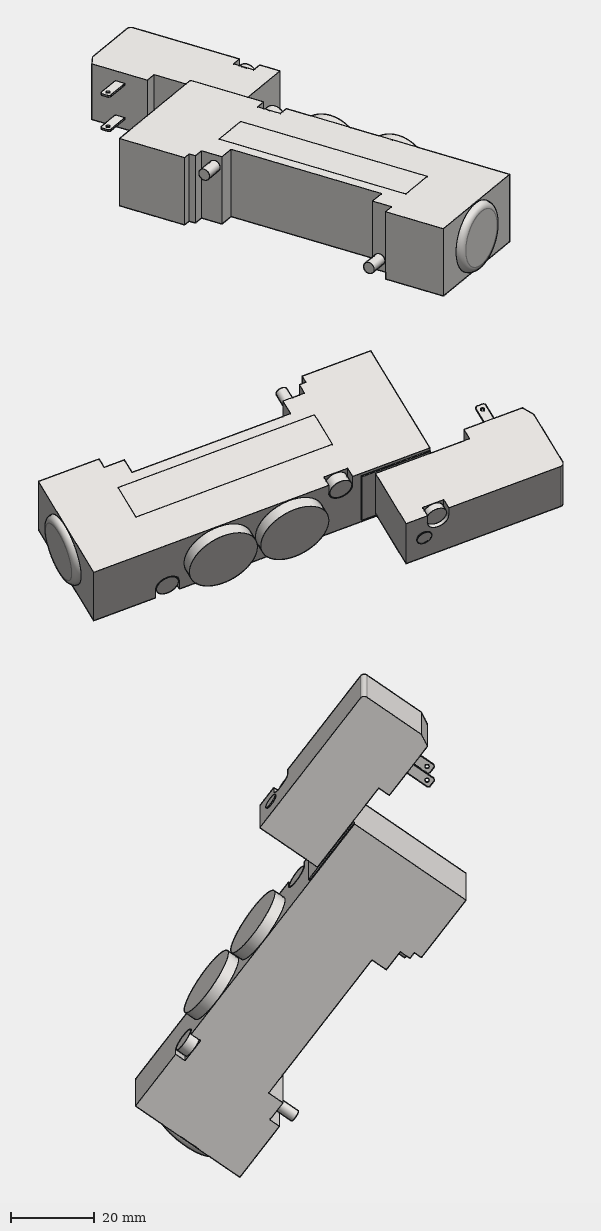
import cadquery as cq


housing_length = 89.0
housing_height = 33.0
housing_width = 18.5
right_foot_height = 2.1
ledge_height = 4.95
bridge_height = 9.2
left_foot_end = 18.15
left_step_end = 19.9
bridge_start = 25.6
bridge_end = 67.55
right_foot_start = 72.9

disc_diameter = 18.0
port_centres_x = (37.2, 56.1)
port_height = 3.0
cap_centre_y = 17.0
cap_height = 1.7
cap_root = 1.0

screw_diameter = 3.0
head_diameter = 5.8
housing_slot_width = 6.3
slot_depth = 2.8
screw_offset_z = 6.15
housing_screws = ((23.6, 1), (69.5, -1))

seat_length = 18.2
seat_thickness = 0.35
seat_width = 16.6

label_left = 20.6
label_bottom = 12.0
label_length = 52.0
label_height = 10.0
label_thickness = 0.5

pilot_left = -27.4
pilot_length = 42.0
pilot_width = 15.3
pilot_top = 50.4
pilot_seat_y = housing_height + seat_thickness
pilot_nose_bottom = 30.2
pilot_nose_length = 17.1
nose_chamfer_x = 1.6
nose_chamfer_y = 3.0
pilot_edge_radius = 1.1

blade_centre_x = -17.9
blade_width = 2.65
blade_thickness = 0.5
blade_tip_y = 23.1
blade_pitch = 9.4
blade_tip_chamfer = 0.4
blade_hole_diameter = 1.0
blade_hole_inset = 1.5

pilot_screw_x = 6.1
pilot_slot_width = 5.6
pilot_head_diameter = 5.4
pilot_head_height = 1.8
button_x = 9.85
button_diameter = 3.9
button_height = 0.3


def cylinder_up(x, y, z, diameter, height):
    """Cylinder standing along +Y on the point (x, y, z)."""
    return cq.Workplane(cq.Solid.makeCylinder(diameter / 2, height, cq.Vector(x, y, z), cq.Vector(0, 1, 0)))


def box(x_min, x_max, y_min, y_max, z_min, z_max):
    """Box between the given limits."""
    corner = cq.Vector(x_min, y_min, z_min)
    return cq.Workplane(cq.Solid.makeBox(x_max - x_min, y_max - y_min, z_max - z_min, corner))


def screw_slot(x, z, width, top, face_z):
    """Round-ended pocket in the top face that opens through the face at face_z."""
    floor = top - slot_depth
    mouth = box(x - width / 2, x + width / 2, floor, top, min(z, face_z), max(z, face_z))
    return cylinder_up(x, floor, z, width, slot_depth).union(mouth)


def make_label():
    """Flush plate in the +Z face of the housing."""
    face = housing_width / 2
    return box(label_left, label_left + label_length, label_bottom, label_bottom + label_height,
               face - label_thickness, face)


def make_housing():
    outline = [
        (0, 0),
        (left_foot_end, 0),
        (left_foot_end, right_foot_height),
        (left_step_end, right_foot_height),
        (left_step_end, ledge_height),
        (bridge_start, ledge_height),
        (bridge_start, bridge_height),
        (bridge_end, bridge_height),
        (bridge_end, ledge_height),
        (right_foot_start, ledge_height),
        (right_foot_start, right_foot_height),
        (housing_length, right_foot_height),
        (housing_length, housing_height),
        (0, housing_height),
    ]
    body = cq.Workplane("XY").polyline(outline).close().extrude(housing_width / 2, both=True)

    for x in port_centres_x:
        body = body.union(cylinder_up(x, housing_height, 0, disc_diameter, port_height))

    cap = cq.Workplane("YZ", origin=(housing_length - cap_root, cap_centre_y, 0))
    cap = cap.circle(disc_diameter / 2).extrude(cap_root + cap_height).faces(">X").edges().fillet(cap_height)
    body = body.union(cap)

    body = body.union(box(0, seat_length, housing_height, pilot_seat_y, -seat_width / 2, seat_width / 2))

    for x, side in housing_screws:
        z = side * screw_offset_z
        face_z = side * housing_width / 2
        body = body.cut(screw_slot(x, z, housing_slot_width, housing_height, face_z))
        body = body.union(cylinder_up(x, housing_height - slot_depth, z, head_diameter, slot_depth))
        body = body.union(cylinder_up(x, 0, z, screw_diameter, housing_height - slot_depth))

    return body.cut(make_label())


def make_blade(z):
    """Flat contact blade with a chamfered tip and a cross hole."""
    blade = box(blade_centre_x - blade_width / 2, blade_centre_x + blade_width / 2,
                blade_tip_y, pilot_nose_bottom, z - blade_thickness / 2, z + blade_thickness / 2)
    blade = blade.faces("<Y").edges("|Z").chamfer(blade_tip_chamfer)
    hole = cq.Workplane("XY").center(blade_centre_x, blade_tip_y + blade_hole_inset)
    hole = hole.circle(blade_hole_diameter / 2).extrude(housing_width, both=True)
    return blade.cut(hole)


def make_pilot_valve():
    pilot_right = pilot_left + pilot_length
    nose_right = pilot_left + pilot_nose_length
    outline = [
        (pilot_left, pilot_top),
        (pilot_left, pilot_nose_bottom + nose_chamfer_y),
        (pilot_left + nose_chamfer_x, pilot_nose_bottom),
        (nose_right, pilot_nose_bottom),
        (nose_right, pilot_seat_y),
        (pilot_right, pilot_seat_y),
        (pilot_right, pilot_top),
    ]
    body = cq.Workplane("XY").polyline(outline).close().extrude(pilot_width / 2, both=True)
    body = body.edges("|Z and <X and >Y").fillet(pilot_edge_radius)

    face_z = pilot_width / 2
    screw_z = face_z - pilot_slot_width / 2
    body = body.cut(screw_slot(pilot_screw_x, screw_z, pilot_slot_width, pilot_top, face_z))
    head = cylinder_up(pilot_screw_x, pilot_top - slot_depth, screw_z, pilot_head_diameter, pilot_head_height)
    body = body.union(head)

    body = body.union(cylinder_up(button_x, pilot_top, 0, button_diameter, button_height))

    for side in (-1, 1):
        body = body.union(make_blade(side * blade_pitch / 2))
    return body


housing = make_housing()
label = make_label()
pilot_valve = make_pilot_valve()

result = cq.Compound.makeCompound([housing.val(), label.val(), pilot_valve.val()])